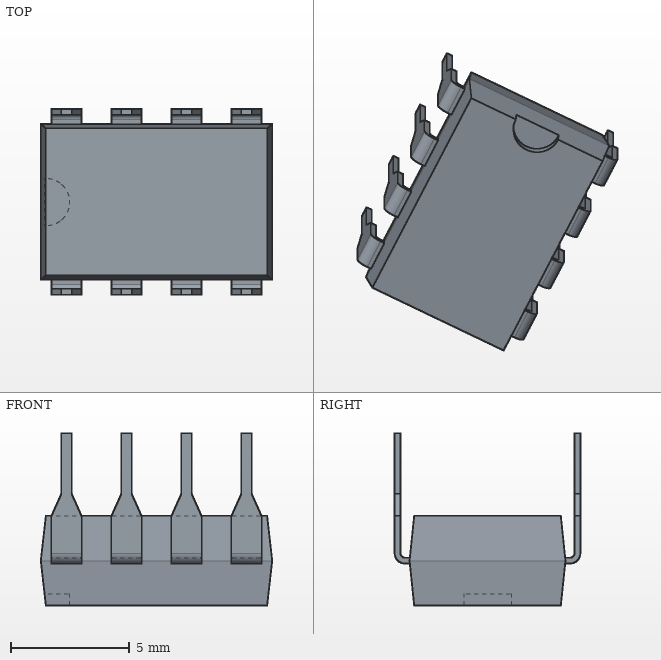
import cadquery as cq

BODY_LENGTH = 9.8
BODY_WIDTH = 6.61
HALF_HEIGHT = 1.9
END_INSET = 0.22
SIDE_INSET = 0.2
BODY_HEIGHT = 2 * HALF_HEIGHT

NOTCH_RADIUS = 1.0
NOTCH_DEPTH = 0.5

LEADS_PER_SIDE = 4
LEAD_PITCH = 2.54
LEAD_SPAN = 7.87
LEAD_TIP_Z = 7.3
LEAD_THICKNESS = 0.25
BEND_INNER_RADIUS = 0.2
LEAD_EMBED = 0.49
SHOULDER_WIDTH = 1.27
PIN_WIDTH = 0.45
PIN_LENGTH = 2.58
TAPER_START_Z = BODY_HEIGHT


def body_half(direction):
    """Tapered half, widest at the parting plane; direction is +1 (up) or -1 (down)."""
    return (
        cq.Workplane("XY", origin=(0, 0, HALF_HEIGHT))
        .rect(BODY_LENGTH, BODY_WIDTH)
        .workplane(offset=direction * HALF_HEIGHT)
        .rect(BODY_LENGTH - 2 * END_INSET, BODY_WIDTH - 2 * SIDE_INSET)
        .loft(ruled=True)
    )


def notch():
    """Cylinder centred on the lower -X edge, leaving a half-round recess."""
    return (
        cq.Workplane("XY", origin=(-BODY_LENGTH / 2 + END_INSET, 0, 0))
        .circle(NOTCH_RADIUS)
        .extrude(NOTCH_DEPTH)
    )


def lead():
    """One lead on the -Y side, centred on X = 0."""
    outer_y = -LEAD_SPAN / 2
    inner_y = outer_y + LEAD_THICKNESS
    root_y = -BODY_WIDTH / 2 + LEAD_EMBED
    bottom_z = HALF_HEIGHT - LEAD_THICKNESS / 2
    top_z = bottom_z + LEAD_THICKNESS
    outer_radius = BEND_INNER_RADIUS + LEAD_THICKNESS

    strip = (
        cq.Workplane("YZ")
        .moveTo(root_y, bottom_z)
        .lineTo(outer_y + outer_radius, bottom_z)
        .radiusArc((outer_y, bottom_z + outer_radius), outer_radius)
        .lineTo(outer_y, LEAD_TIP_Z)
        .lineTo(inner_y, LEAD_TIP_Z)
        .lineTo(inner_y, top_z + BEND_INNER_RADIUS)
        .radiusArc((inner_y + BEND_INNER_RADIUS, top_z), -BEND_INNER_RADIUS)
        .lineTo(root_y, top_z)
        .close()
        .extrude(SHOULDER_WIDTH / 2, both=True)
    )

    half_shoulder = SHOULDER_WIDTH / 2
    half_pin = PIN_WIDTH / 2
    pin_base_z = LEAD_TIP_Z - PIN_LENGTH
    outline = (
        cq.Workplane("XZ")
        .polyline(
            [
                (-half_shoulder, 0),
                (half_shoulder, 0),
                (half_shoulder, TAPER_START_Z),
                (half_pin, pin_base_z),
                (half_pin, LEAD_TIP_Z),
                (-half_pin, LEAD_TIP_Z),
                (-half_pin, pin_base_z),
                (-half_shoulder, TAPER_START_Z),
            ]
        )
        .close()
        .extrude(LEAD_SPAN / 2)
    )
    return strip.intersect(outline)


result = body_half(1).union(body_half(-1)).cut(notch())

front_lead = lead()
back_lead = front_lead.mirror("XZ")
for index in range(LEADS_PER_SIDE):
    lead_x = (index - (LEADS_PER_SIDE - 1) / 2) * LEAD_PITCH
    result = result.union(front_lead.translate((lead_x, 0, 0)))
    result = result.union(back_lead.translate((lead_x, 0, 0)))